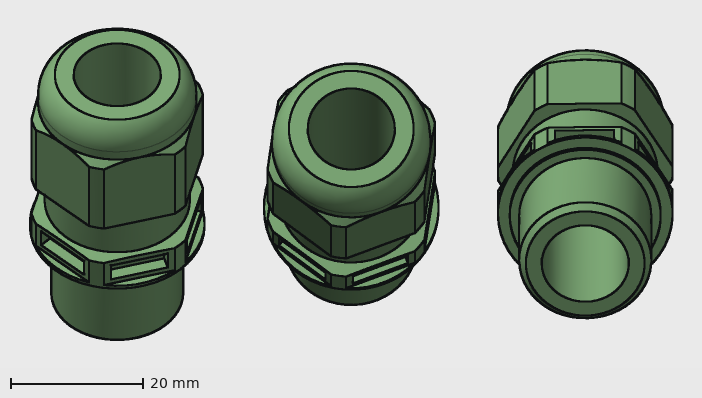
import cadquery as cq
import math

corner_diameter = 26.5
across_flats = 24.0
neck_diameter = 22.0
thread_diameter = 20.05
collar_diameter = 22.9
bore_diameter = 13.2
crown_diameter = 18.9

collar_bottom = 15.0
flange_bottom = 15.55
flange_top = 16.2
body_hex_top = 21.2
nut_bottom = 28.5
nut_top = 42.45
dome_base = 44.15
total_height = 48.5

thread_chamfer = 1.0
nut_chamfer_height = 1.0
body_chamfer_height = 0.2

pocket_width = 8.95
pocket_height = 3.0
pocket_bottom = 17.1
pocket_depth = 2.0

HEX_SIDES = 6


def cylinder(diameter, bottom, top):
    return cq.Workplane("XY").workplane(offset=bottom).circle(diameter / 2).extrude(top - bottom)


def hexagon(bottom, top, chamfer_height, chamfer_diameter):
    """Hexagonal prism with cylindrical corners and a top that slopes conically up to chamfer_diameter."""
    corner_radius = corner_diameter / 2
    prism = (
        cq.Workplane("XY")
        .workplane(offset=bottom)
        .polygon(HEX_SIDES, across_flats / math.cos(math.pi / HEX_SIDES))
        .extrude(top - bottom)
    )
    envelope = (
        cq.Workplane("XZ")
        .moveTo(0, bottom)
        .lineTo(corner_radius, bottom)
        .lineTo(corner_radius, top - chamfer_height)
        .lineTo(chamfer_diameter / 2, top)
        .lineTo(0, top)
        .close()
        .revolve(360, (0, 0), (0, 1))
    )
    return prism.intersect(envelope)


def dome():
    """Rounded cap whose arc starts tangent to its cylindrical base."""
    base_radius = across_flats / 2
    crown_radius = crown_diameter / 2
    inset = base_radius - crown_radius
    rise = total_height - dome_base
    arc_radius = (inset**2 + rise**2) / (2 * inset)
    half_angle = math.asin(rise / arc_radius) / 2
    arc_middle = (
        base_radius - arc_radius * (1 - math.cos(half_angle)),
        dome_base + arc_radius * math.sin(half_angle),
    )
    return (
        cq.Workplane("XZ")
        .moveTo(0, nut_top)
        .lineTo(base_radius, nut_top)
        .lineTo(base_radius, dome_base)
        .threePointArc(arc_middle, (crown_radius, total_height))
        .lineTo(0, total_height)
        .close()
        .revolve(360, (0, 0), (0, 1))
    )


def cut_pockets(body):
    """Rectangular blind pocket in the middle of each flat."""
    pocket = cq.Workplane("XY").box(
        pocket_width, pocket_depth, pocket_height, centered=(True, False, False)
    ).translate((0, -across_flats / 2, pocket_bottom))
    for side in range(HEX_SIDES):
        body = body.cut(pocket.rotate((0, 0, 0), (0, 0, 1), side * 360 / HEX_SIDES))
    return body


thread = cylinder(thread_diameter, 0, collar_bottom).faces("<Z").chamfer(thread_chamfer)
collar = cylinder(collar_diameter, collar_bottom, flange_bottom)
flange = cylinder(corner_diameter, flange_bottom, flange_top)

body_hex = cut_pockets(hexagon(flange_top, body_hex_top, body_chamfer_height, neck_diameter))
neck = cylinder(neck_diameter, body_hex_top, nut_bottom)
nut = hexagon(nut_bottom, nut_top, nut_chamfer_height, across_flats)

gland = thread.union(collar).union(flange).union(body_hex).union(neck).union(nut).union(dome())
result = gland.cut(cylinder(bore_diameter, 0, total_height))